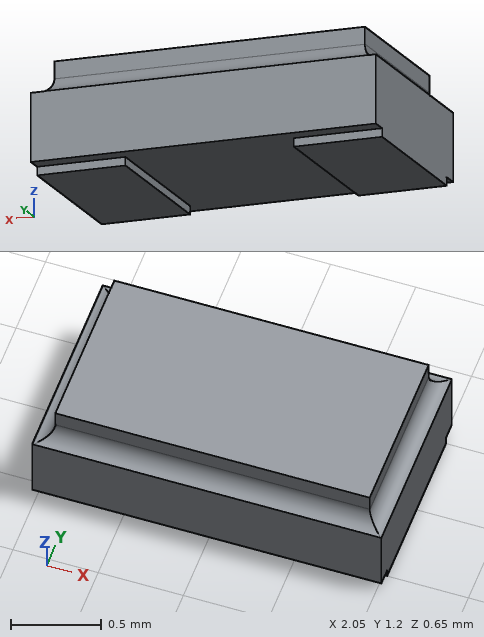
import cadquery as cq

length = 2.05
width = 1.2
height = 0.65

pad_length = 0.525
pad_height = 0.05

body_height = 0.402
cove_radius = 0.098
end_ledge = 0.005
cove_length = length - 2 * end_ledge
lid_length = cove_length - 2 * cove_radius
lid_width = width - 2 * cove_radius
pad_width = lid_width

body_top = pad_height + body_height
lid_bottom = body_top + cove_radius


def block(size_x, size_y, bottom, top, center_x=0.0):
    """Box centred on Y, standing between two heights."""
    base = cq.Workplane("XY", origin=(center_x, 0, bottom))
    return base.rect(size_x, size_y).extrude(top - bottom)


def cove():
    """Layer under the lid whose four sides are hollowed by a quarter round."""
    layer = block(cove_length, width, body_top, lid_bottom)
    for side in (-1, 1):
        long_side = cq.Workplane("YZ", origin=(-length / 2, side * width / 2, lid_bottom))
        end_side = cq.Workplane("XZ", origin=(side * cove_length / 2, width / 2, lid_bottom))
        layer = layer.cut(long_side.circle(cove_radius).extrude(length))
        layer = layer.cut(end_side.circle(cove_radius).extrude(width))
    return layer


body = block(length, width, pad_height, body_top)
lid = block(lid_length, lid_width, lid_bottom, height)

result = body.union(cove()).union(lid)
for end in (-1, 1):
    pad_center = end * (length - pad_length) / 2
    result = result.union(block(pad_length, pad_width, 0, pad_height, pad_center))